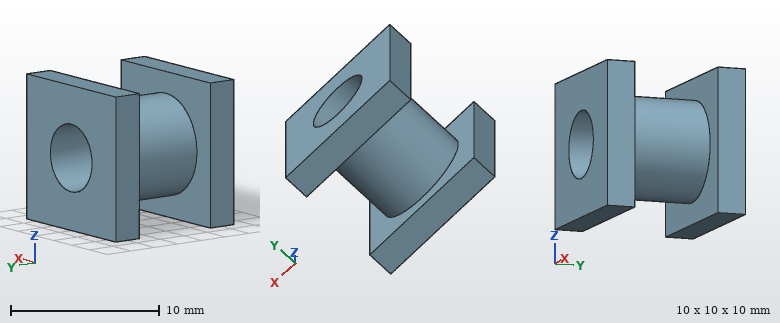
import cadquery as cq

flange_side = 10.0
spool_length = 10.0
flange_thickness = 2.0
barrel_diameter = 7.0
bore_diameter = 4.67

barrel_length = spool_length - 2 * flange_thickness


def flange(center_y):
    """Square end plate, centred on the spool axis (Y)."""
    plate = cq.Workplane("XY").box(flange_side, flange_thickness, flange_side)
    return plate.translate((0, center_y, 0))


spool = cq.Workplane("XZ").circle(barrel_diameter / 2).extrude(barrel_length / 2, both=True)

flange_offset = (spool_length - flange_thickness) / 2
for side in (-1, 1):
    spool = spool.union(flange(side * flange_offset))

bore = cq.Workplane("XZ").circle(bore_diameter / 2).extrude(spool_length / 2, both=True)
result = spool.cut(bore)